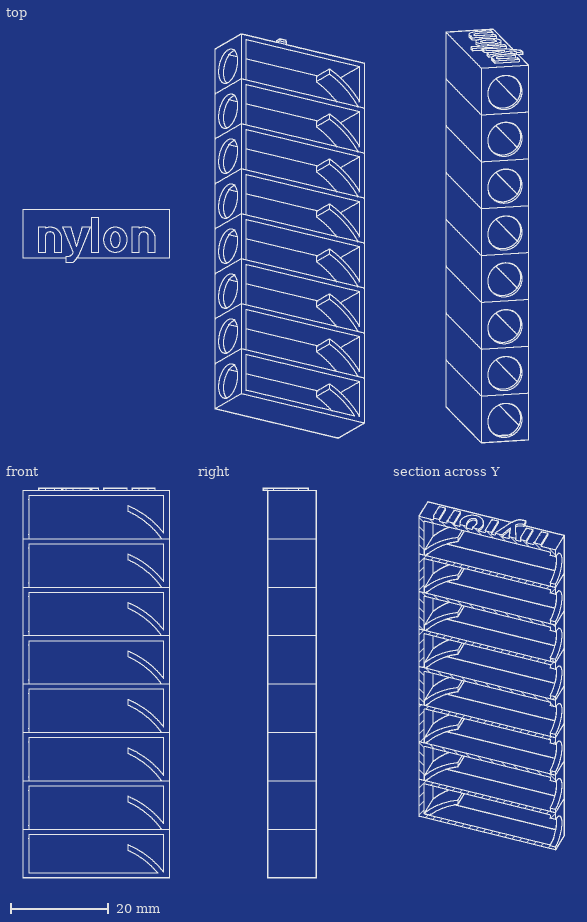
import cadquery as cq
import math

cell_count = 8
tower_height = 79.8
letter_height = 0.5
cell_width = 30.0
cell_depth = 10.0
side_wall = 1.2
wall = 1.0
cell_pitch = (tower_height - letter_height) / cell_count

window_diameter = 7.2
window_height = (cell_pitch - wall) / 2

arc_center_x = -0.55
arc_center_drop = 10.0
arc_outer_radius = 18.2
strip_thickness = 1.0
strip_tip_x = 6.5
strip_depth = cell_depth / 2

baseline_y = -3.8
x_height = 5.2
ascender_height = 7.2
tail_overhang = 0.95
stroke = 1.4
arch_stroke = 0.95
n_width = 4.7
n_left_edges = (-11.8, 7.35)
y_left = -6.9
y_right = -1.2
y_arm_width = 1.7
y_crotch_height = 1.2
y_short_arm_foot_x = -4.7
tail_left = -6.2
tail_width = 1.3
tail_inner_sag = 0.3
l_left = -0.95
o_left = 1.5
o_width = 4.8

inner_width = cell_width - 2 * side_wall
front_y = -cell_depth / 2
roof_z = cell_count * cell_pitch


def opening(floor_z):
    """Space inside a cell, open at the front (-Y) and closed at the back."""
    return (
        cq.Workplane("XY")
        .box(inner_width, cell_depth - wall, cell_pitch - wall - floor_z, centered=(True, False, False))
        .translate((0, front_y, floor_z))
    )


def window():
    """Horizontal drill through the -X wall."""
    return (
        cq.Workplane("YZ", origin=(-cell_width / 2, 0, window_height))
        .circle(window_diameter / 2)
        .extrude(side_wall)
    )


def overhang_strip():
    """Band between two concentric arcs, untrimmed where it enters the wall and floor."""
    arc_inner_radius = arc_outer_radius - strip_thickness
    root_x = cell_width / 2
    middle_x = (strip_tip_x + root_x) / 2

    def arc_point(radius, x):
        return (x, math.sqrt(radius**2 - (x - arc_center_x) ** 2) - arc_center_drop)

    return (
        cq.Workplane("XZ", origin=(0, front_y + strip_depth, 0))
        .moveTo(*arc_point(arc_outer_radius, strip_tip_x))
        .threePointArc(arc_point(arc_outer_radius, middle_x), arc_point(arc_outer_radius, root_x))
        .lineTo(*arc_point(arc_inner_radius, root_x))
        .threePointArc(arc_point(arc_inner_radius, middle_x), arc_point(arc_inner_radius, strip_tip_x))
        .close()
        .extrude(strip_depth)
    )


def cell(index, floor_thickness=0):
    """One cell of the tower; without a floor it stands on the roof of the cell below."""
    space = opening(floor_thickness)
    body = (
        cq.Workplane("XY")
        .box(cell_width, cell_depth, cell_pitch, centered=(True, True, False))
        .cut(space)
        .cut(window())
        .union(overhang_strip().intersect(space))
    )
    return body.translate((0, 0, index * cell_pitch))


def roof_plane(x):
    """Sketch plane on the roof with its origin on the baseline at the given X."""
    return cq.Workplane("XY", origin=(x, baseline_y, roof_z))


def letter_n(left):
    radius = n_width / 2
    inner_radius = radius - stroke
    shoulder = x_height - radius
    inner_shoulder = x_height - arch_stroke - inner_radius
    arch = (
        roof_plane(left)
        .lineTo(0, shoulder)
        .threePointArc((radius, x_height), (n_width, shoulder))
        .lineTo(n_width, 0)
        .lineTo(n_width - stroke, 0)
        .lineTo(n_width - stroke, inner_shoulder)
        .threePointArc((radius, x_height - arch_stroke), (stroke, inner_shoulder))
        .lineTo(stroke, 0)
        .close()
        .extrude(letter_height)
    )
    stem = roof_plane(left).rect(stroke, x_height, centered=False).extrude(letter_height)
    return arch.union(stem)


def letter_y():
    tail_bottom = front_y - tail_overhang - baseline_y
    tail_top = tail_bottom + tail_width
    crotch_x = (y_left + y_right) / 2
    return (
        roof_plane(0)
        .moveTo(y_left, x_height)
        .lineTo(y_left + y_arm_width, x_height)
        .lineTo(crotch_x, y_crotch_height)
        .lineTo(y_right - y_arm_width, x_height)
        .lineTo(y_right, x_height)
        .lineTo(crotch_x + stroke / 2, 0)
        .tangentArcPoint((tail_left + stroke, tail_bottom), relative=False)
        .lineTo(tail_left, tail_bottom)
        .lineTo(tail_left, tail_top)
        .sagittaArc((y_short_arm_foot_x, 0), -tail_inner_sag)
        .close()
        .extrude(letter_height)
    )


def letter_l():
    return roof_plane(l_left).rect(stroke, ascender_height, centered=False).extrude(letter_height)


def letter_o():
    center = roof_plane(o_left + o_width / 2).center(0, x_height / 2)
    return (
        center.ellipse(o_width / 2, x_height / 2)
        .ellipse(o_width / 2 - stroke, x_height / 2 - arch_stroke)
        .extrude(letter_height)
    )


def base_cell():
    """Lowest cell, the only one with its own floor."""
    return cell(0, floor_thickness=wall)


def top_cell():
    """Uppermost cell, carrying the raised word on its roof."""
    body = cell(cell_count - 1)
    letters = [letter_n(left) for left in n_left_edges] + [letter_y(), letter_l(), letter_o()]
    for letter in letters:
        body = body.union(letter)
    return body


base = base_cell()
middle_cells = [cell(index) for index in range(1, cell_count - 1)]
top = top_cell()

result = cq.Compound.makeCompound([base.val(), *[middle.val() for middle in middle_cells], top.val()])